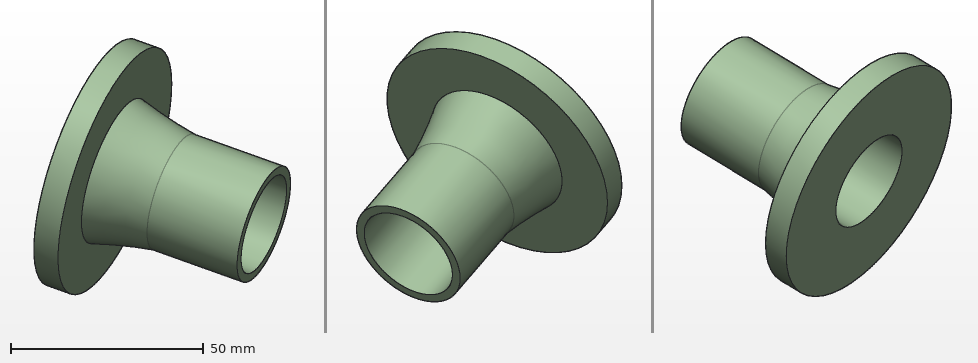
import cadquery as cq
import math

total_length = 50.0
bore_radius = 27.2 / 2

flange_radius = 68.0 / 2
flange_thickness = 7.0

neck_base_radius = 40.0 / 2
neck_end_x = 24.0
flare_radius = 120.0

tube_radius = 32.0 / 2

neck_length = neck_end_x - flange_thickness
neck_rise = neck_base_radius - tube_radius
flare_chord = math.hypot(neck_length, neck_rise)
flare_sag = flare_radius - math.sqrt(flare_radius**2 - (flare_chord / 2) ** 2)
flare_middle = (
    (flange_thickness + neck_end_x) / 2 - flare_sag * neck_rise / flare_chord,
    (neck_base_radius + tube_radius) / 2 - flare_sag * neck_length / flare_chord,
)

profile = (
    cq.Workplane("XY")
    .moveTo(0, bore_radius)
    .lineTo(0, flange_radius)
    .lineTo(flange_thickness, flange_radius)
    .lineTo(flange_thickness, neck_base_radius)
    .threePointArc(flare_middle, (neck_end_x, tube_radius))
    .lineTo(total_length, tube_radius)
    .lineTo(total_length, bore_radius)
    .close()
)

result = profile.revolve(360, (0, 0, 0), (1, 0, 0))